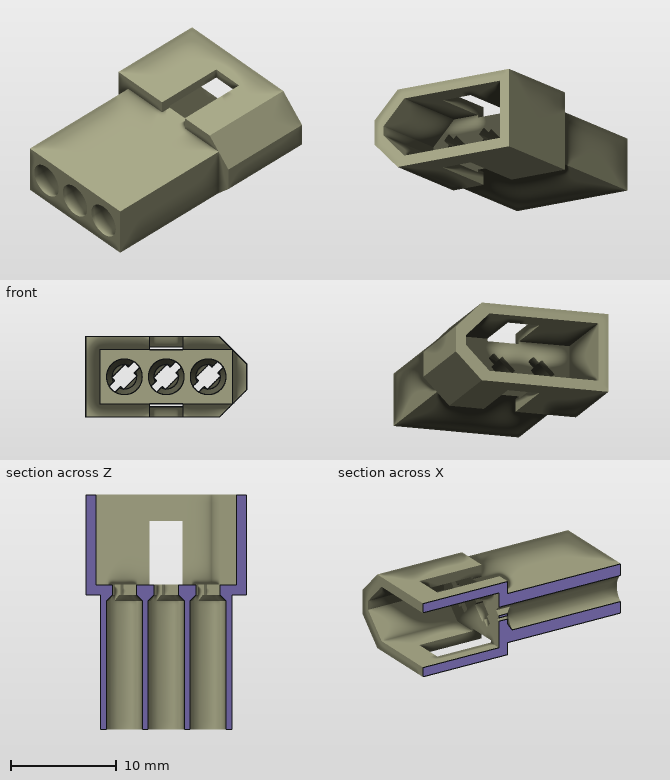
import cadquery as cq

total_length = 22.23
head_width = 15.25
head_height = 7.62

head_length = 9.51
head_start = total_length - head_length
corner_cut = 2.6
wall = 1.0

cavity_width = head_width - 2 * wall
cavity_height = head_height - 2 * wall
cavity_corner_cut = 2.35

neck_width = 12.52
neck_height = 5.14
neck_length = head_start + wall

window_width = 3.15
window_back_margin = 2.51
window_length = head_length - window_back_margin

bore_count = 3
bore_pitch = 3.95
bore_radius = 1.7
throat_radius = 1.15
taper_length = bore_radius - throat_radius
bore_end = neck_length - wall
taper_start = bore_end - taper_length

key_tilt = 45
wide_slot_length = 1.8
wide_slot_width = 1.58
narrow_slot_width = 0.78


def box_along_y(width, height, start, end):
    """Box centred on the Y axis between two Y positions."""
    return cq.Workplane("XY").box(width, end - start, height).translate((0, (start + end) / 2, 0))


def cylinder_along_y(radius, start, end):
    """Cylinder on the Y axis between two Y positions."""
    return cq.Workplane("XZ", origin=(0, start, 0)).circle(radius).extrude(start - end)


def make_cut_corner_bar(width, height, corner, start):
    """Rectangular bar with both +X corners cut at 45 degrees, from start to the back end."""
    bar = box_along_y(width, height, start, total_length)
    return bar.edges("|Y and >X").chamfer(corner)


def make_head():
    shell = make_cut_corner_bar(head_width, head_height, corner_cut, head_start)
    cavity = make_cut_corner_bar(cavity_width, cavity_height, cavity_corner_cut, neck_length)
    windows = box_along_y(window_width, head_height, head_start, head_start + window_length)
    return shell.cut(cavity).cut(windows)


def make_bore():
    """Cutter for one contact bore, centred on the Y axis."""
    bore = cylinder_along_y(bore_radius, 0, taper_start)
    taper = cq.Workplane(
        cq.Solid.makeCone(
            bore_radius, throat_radius, taper_length, cq.Vector(0, taper_start, 0), cq.Vector(0, 1, 0)
        )
    )
    wide_slot = box_along_y(wide_slot_length, wide_slot_width, bore_end, neck_length)
    narrow_slot = box_along_y(2 * bore_radius, narrow_slot_width, taper_start, neck_length)
    narrow_slot = narrow_slot.intersect(cylinder_along_y(bore_radius, taper_start, neck_length))
    key = wide_slot.union(narrow_slot).rotate((0, 0, 0), (0, 1, 0), -key_tilt)
    return bore.union(taper).union(key)


result = make_head().union(box_along_y(neck_width, neck_height, 0, neck_length))

bore_cutter = make_bore()
for index in range(bore_count):
    x = (index - (bore_count - 1) / 2) * bore_pitch
    result = result.cut(bore_cutter.translate((x, 0, 0)))